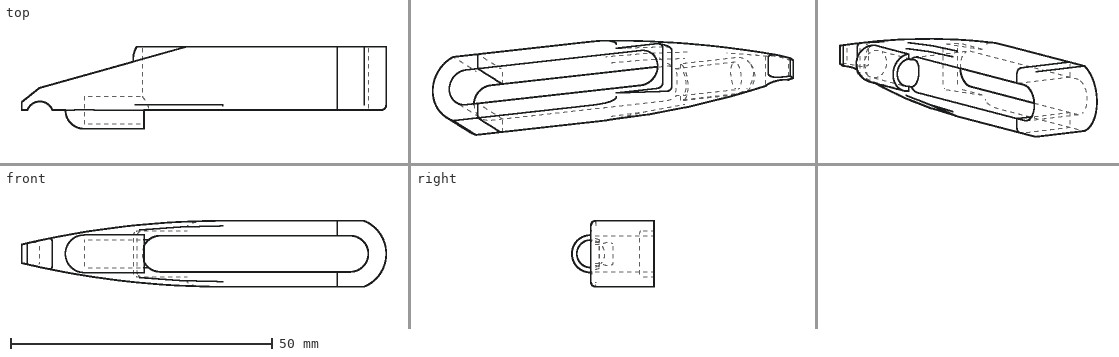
import cadquery as cq
import math

length = 69.78
half_height = 6.33
depth = 12.16
edge_fillet = 1.0

taper_end_x = 38.5
tip_half_height = 1.79
tip_depth = 1.56
bevel_end_x = 3.4
bevel_end_y = 4.27
slope_end_x = 31.6

notch_center_x = 3.48
notch_depth = 1.64
notch_radius = 2.55

tail_radius = 6.83
tail_center_x = length - tail_radius
joint_x = 60.4

slot_half_width = 3.44
slot_start_x = 26.5
slot_end_x = 62.87

socket_radius = 3.6
socket_dome_x = 11.95
socket_end_x = 23.44
socket_bore_radius = 2.64

pad_wall = 1.0
pad_half_height = slot_half_width + pad_wall
pad_start_x = 21.3
pad_nose_radius = 4.86
pad_nose_y = depth - 2.5
pad_base_y = 9.0
pad_corner_fillet = 1.0

pick_margin = 0.05


def taper_half_height(x):
    """Half height of the nose flank: an arc tangent to the straight sides."""
    drop = half_height - tip_half_height
    radius = (taper_end_x**2 + drop**2) / (2 * drop)
    return half_height - radius + math.sqrt(radius**2 - (taper_end_x - x) ** 2)


def extrude_to_back(outline):
    """Extrude an XZ outline from the front face to the back face."""
    return outline.extrude(-depth)


def make_outer_block():
    """Outline in XZ: tapered nose, straight sides and arched tail."""
    arch_x = tail_center_x + math.sqrt(tail_radius**2 - half_height**2)
    nose_mid_x = taper_end_x / 2
    nose_mid_z = taper_half_height(nose_mid_x)
    return extrude_to_back(
        cq.Workplane("XZ")
        .moveTo(0, -tip_half_height)
        .threePointArc((nose_mid_x, -nose_mid_z), (taper_end_x, -half_height))
        .lineTo(arch_x, -half_height)
        .threePointArc((length, 0), (arch_x, half_height))
        .lineTo(taper_end_x, half_height)
        .threePointArc((nose_mid_x, nose_mid_z), (0, tip_half_height))
        .close()
    )


def make_side_profile():
    """XY profile that gives the nose its bevel and long back slope."""
    return (
        cq.Workplane("XY")
        .polyline([
            (0, 0),
            (length, 0),
            (length, depth),
            (slope_end_x, depth),
            (bevel_end_x, bevel_end_y),
            (0, tip_depth),
        ])
        .close()
        .extrude(half_height, both=True)
    )


def make_notch():
    return (
        cq.Workplane("XY")
        .center(notch_center_x, notch_depth - notch_radius)
        .circle(notch_radius)
        .extrude(half_height, both=True)
    )


def make_slot():
    slot_length = slot_end_x - slot_start_x + 2 * slot_half_width
    return extrude_to_back(
        cq.Workplane("XZ")
        .center((slot_start_x + slot_end_x) / 2, 0)
        .slot2D(slot_length, 2 * slot_half_width)
    )


def make_pad():
    """Block with a curved nose and rounded nose edges, flush with the back face."""
    nose_center_x = pad_start_x + pad_nose_radius
    nose_rise = depth - pad_nose_y

    def nose_point(rise):
        run = math.sqrt(pad_nose_radius**2 - rise**2)
        return (nose_center_x - run, pad_nose_y + rise)

    block = (
        cq.Workplane("XY")
        .moveTo(pad_start_x, pad_base_y)
        .lineTo(pad_start_x, pad_nose_y)
        .threePointArc(nose_point(nose_rise / 2), nose_point(nose_rise))
        .lineTo(slope_end_x, depth)
        .lineTo(slope_end_x, pad_base_y)
        .close()
        .extrude(pad_half_height, both=True)
    )
    nose_edges = cq.selectors.BoxSelector(
        (pad_start_x - pick_margin, pad_base_y, -half_height),
        (nose_point(nose_rise)[0], depth - pick_margin, half_height),
    )
    return block.edges("#Z").edges(nose_edges).fillet(pad_corner_fillet)


def make_socket():
    """Cylinder with a hemispherical end, turned about the X axis."""
    dome_mid_angle = math.radians(45)
    dome_mid = (
        socket_dome_x - socket_radius * math.cos(dome_mid_angle),
        socket_radius * math.sin(dome_mid_angle),
    )
    return (
        cq.Workplane("XY")
        .moveTo(socket_dome_x - socket_radius, 0)
        .threePointArc(dome_mid, (socket_dome_x, socket_radius))
        .lineTo(socket_end_x, socket_radius)
        .lineTo(socket_end_x, 0)
        .close()
        .revolve(360, (0, 0, 0), (1, 0, 0))
    )


def make_socket_bore():
    """Blind bore that opens into the slot."""
    return (
        cq.Workplane("YZ", origin=(socket_dome_x, 0, 0))
        .circle(socket_bore_radius)
        .extrude(slot_start_x - socket_dome_x)
    )


def make_full_body():
    shell = make_outer_block().intersect(make_side_profile()).cut(make_notch())

    notch_end_x = notch_center_x + math.sqrt(notch_radius**2 - (notch_radius - notch_depth) ** 2)
    front_edges = cq.selectors.BoxSelector(
        (notch_end_x + pick_margin, -pick_margin, -half_height),
        (length, pick_margin, half_height),
    )
    shell = shell.edges(front_edges).fillet(edge_fillet)
    slope_x = (bevel_end_x + slope_end_x) / 2
    slope_y = (bevel_end_y + depth) / 2
    for side in (-1, 1):
        slope_edge = cq.selectors.NearestToPointSelector(
            (slope_x, slope_y, side * taper_half_height(slope_x))
        )
        shell = shell.edges(slope_edge).fillet(edge_fillet)

    return shell.union(make_pad()).union(make_socket()).cut(make_slot()).cut(make_socket_bore())


def make_tail_space():
    """Block covering everything beyond the joint plane."""
    tail_space_size = 2 * length
    return (
        cq.Workplane("YZ", origin=(joint_x, 0, 0))
        .rect(tail_space_size, tail_space_size)
        .extrude(length - joint_x)
    )


full_body = make_full_body()
clip = full_body.cut(make_tail_space())
end_loop = full_body.intersect(make_tail_space())

result = cq.Compound.makeCompound([clip.val(), end_loop.val()])